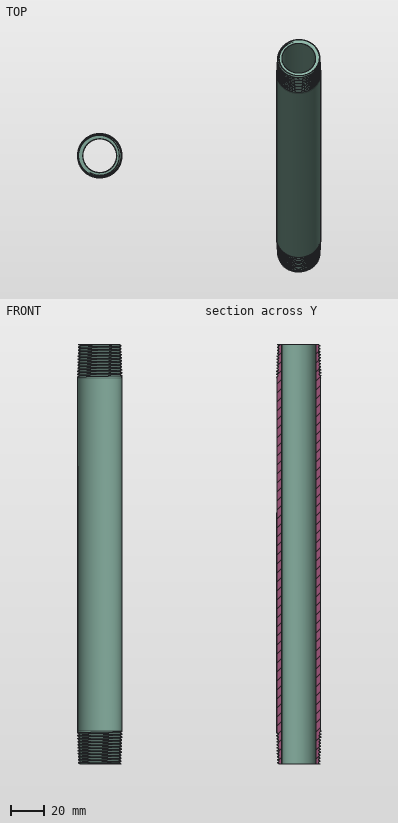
import cadquery as cq
import math

length = 254.0
outer_radius = 13.5
bore_radius = 10.2

thread_length = 20.3
pitch = 1.814
groove_depth = 1.0
groove_width = 1.68
taper = 1 / 16
radial_slope = taper / 2
end_radius = outer_radius - thread_length * radial_slope
overshoot = 0.3


def pipe_body():
    """Hollow pipe with a slightly conical surface at both ends."""
    outline = [
        (bore_radius, 0),
        (end_radius, 0),
        (outer_radius, thread_length),
        (outer_radius, length - thread_length),
        (end_radius, length),
        (bore_radius, length),
    ]
    section = cq.Workplane("XZ").polyline(outline).close()
    pipe = section.revolve(360, (0, 0, 0), (0, 1, 0))
    return pipe.translate((0, 0, -length / 2))


def groove_cutter():
    """Helical V-groove for an end face at Z = 0, with the pipe above it."""
    start = -pitch
    start_radius = end_radius + start * radial_slope
    cone_angle = math.degrees(math.atan(radial_slope))
    helix = cq.Wire.makeHelix(
        pitch,
        thread_length - groove_width / 2 - start,
        start_radius,
        center=cq.Vector(0, 0, start),
        angle=cone_angle,
    )
    root_radius = start_radius - groove_depth
    rim_radius = start_radius + overshoot
    half_width = groove_width / 2
    rim_half_width = half_width * (groove_depth + overshoot) / groove_depth
    groove = [
        (root_radius, start),
        (rim_radius, start - rim_half_width),
        (rim_radius, start + rim_half_width),
    ]
    section = cq.Workplane("XZ").polyline(groove).close()
    return section.sweep(cq.Workplane(helix), isFrenet=True)


groove = groove_cutter().translate((0, 0, -length / 2))
top_groove = groove.rotate((0, 0, 0), (1, 0, 0), 180)
bottom_groove = groove.rotate((0, 0, 0), (0, 0, 1), 180)

result = pipe_body().cut(top_groove).cut(bottom_groove)